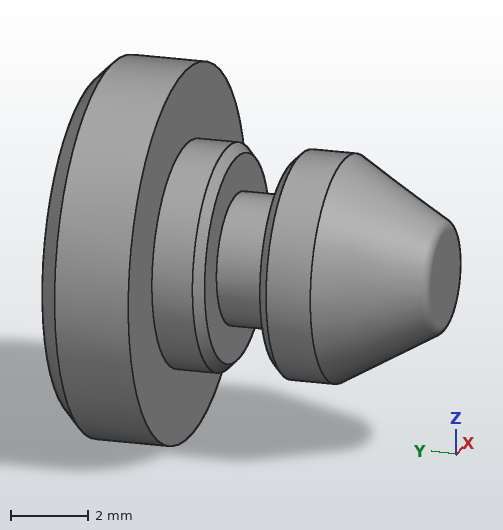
import cadquery as cq
import math


flange_diameter = 10
flange_thickness = 2.5
flange_chamfer = 0.5

body_diameter = 6
collar_length = 1.35
neck_diameter = 3.5
neck_length = 1.5
rim_chamfer = 0.25
head_straight_length = 1.45

overall_length = 9.5
cone_half_angle = 30
tip_fillet = 0.3

flange_radius = flange_diameter / 2
body_radius = body_diameter / 2
neck_radius = neck_diameter / 2

collar_end = -collar_length
head_start = collar_end - neck_length
cone_start = head_start - head_straight_length
tip_end = flange_thickness - overall_length

tip_radius = body_radius - (cone_start - tip_end) * math.tan(math.radians(cone_half_angle))

profile = (
    cq.Workplane("XY")
    .moveTo(0, flange_thickness)
    .lineTo(flange_radius - flange_chamfer, flange_thickness)
    .lineTo(flange_radius, flange_thickness - flange_chamfer)
    .lineTo(flange_radius, 0)
    .lineTo(body_radius, 0)
    .lineTo(body_radius, collar_end + rim_chamfer)
    .lineTo(body_radius - rim_chamfer, collar_end)
    .lineTo(neck_radius, collar_end)
    .lineTo(neck_radius, head_start)
    .lineTo(body_radius - rim_chamfer, head_start)
    .lineTo(body_radius, head_start - rim_chamfer)
    .lineTo(body_radius, cone_start)
    .lineTo(tip_radius, tip_end)
    .lineTo(0, tip_end)
    .close()
)

plug = profile.revolve(360, (0, 0, 0), (0, 1, 0))

result = plug.faces("<Y").edges().fillet(tip_fillet)